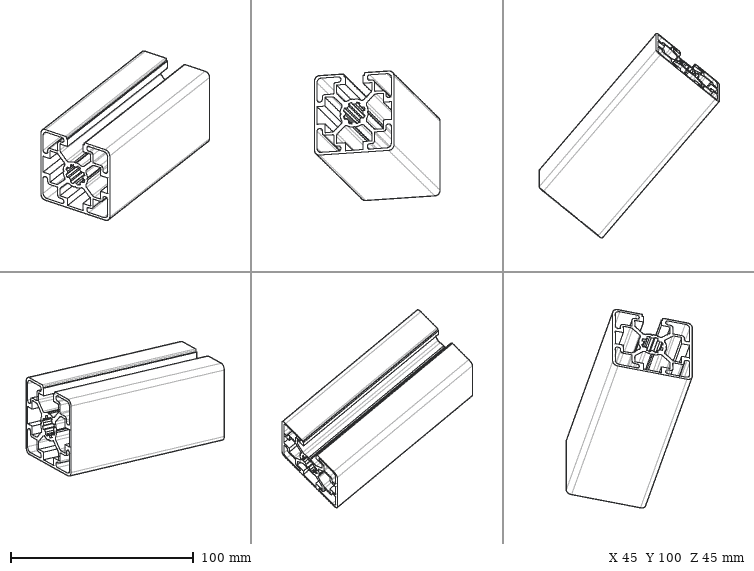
import cadquery as cq
import math

size = 45.0
length = 100.0
half = size / 2
corner_radius = 3.0
skin = 1.5

mouth_half = 5.75
mouth_edge_radius = 0.6
lip_half = 5.0
lip_depth = 6.0
channel_half = 10.0
channel_bend_radius = 2.0
web = 1.5
diagonal_web = 2.5

cavity_end = 7.5
cavity_corner_radius = 2.5
arm_end_radius = 1.4
arm_shoulder_radius = 1.5
cavity_inner_radius = 0.5

hub_radius = 8.0
hub_fillet = 1.5
groove_half = 0.8
groove_depth = 0.4
bore_root_radius = 6.2
bore_tip_radius = 5.0
tooth_count = 8
tooth_tip_half_angle = 9.0
tooth_root_half_angle = 14.5

inner_face = half - skin
lip_underside = half - lip_depth
diagonal_offset = diagonal_web / math.sqrt(2)


def prism(sketch):
    """Extrude a closed XZ outline over the full length, centred on Y."""
    return sketch.extrude(length)


def end_plane():
    """Workplane on the +Y end; extrusions run toward -Y."""
    return cq.Workplane("XZ", origin=(0, length / 2, 0))


def turn(body, angle):
    return body.rotate((0, 0, 0), (0, 1, 0), angle)


def polar(radius, degrees):
    angle = math.radians(degrees)
    return radius * math.cos(angle), radius * math.sin(angle)


def outer_block():
    return prism(end_plane().rect(size, size)).edges("|Y").fillet(corner_radius)


def edges_at(body, points):
    """Lengthwise edges of a body passing through the given XZ points."""
    picked = body.edges(cq.selectors.NearestToPointSelector((points[0][0], 0, points[0][1])))
    for x, z in points[1:]:
        picked = picked.add(body.edges(cq.selectors.NearestToPointSelector((x, 0, z))))
    return picked


def channel():
    """Upper T-slot void, closed by the skin outside and by the hub inside."""
    hub_foot = hub_radius / 2
    bend_z = channel_half + diagonal_offset
    void = prism(
        end_plane().polyline([
            (-lip_half, inner_face),
            (-lip_half, lip_underside),
            (-channel_half, lip_underside),
            (-channel_half, bend_z),
            (-hub_foot, hub_foot + diagonal_offset),
            (hub_foot, hub_foot + diagonal_offset),
            (channel_half, bend_z),
            (channel_half, lip_underside),
            (lip_half, lip_underside),
            (lip_half, inner_face),
        ]).close()
    )
    void = void.cut(prism(end_plane().circle(hub_radius)))
    meet_x = (math.sqrt(2 * hub_radius**2 - diagonal_offset**2) - diagonal_offset) / 2
    meet_z = meet_x + diagonal_offset
    void = edges_at(void, [(-meet_x, meet_z), (meet_x, meet_z)]).fillet(hub_fillet)
    void = edges_at(void, [(-channel_half, bend_z), (channel_half, bend_z)]).fillet(channel_bend_radius)
    rim_z = math.sqrt(hub_radius**2 - groove_half**2)
    groove = prism(
        end_plane().polyline([
            (-groove_half, rim_z),
            (0, hub_radius - groove_depth),
            (groove_half, rim_z),
            (0, hub_radius + groove_depth),
        ]).close()
    )
    return void.union(groove)


def corner_cavity():
    """L-shaped void in the +X +Z corner, mirror-symmetric about the diagonal."""
    arm_floor = lip_underside + web
    inner_wall = channel_half + web
    arm_ends = [(cavity_end, inner_face), (cavity_end, arm_floor)]
    shoulder = (inner_wall, arm_floor)
    void = prism(
        end_plane().polyline([
            (inner_face, inner_face),
            *arm_ends,
            shoulder,
            (inner_wall, inner_wall),
            shoulder[::-1],
            (arm_floor, cavity_end),
            (inner_face, cavity_end),
        ]).close()
    )
    void = edges_at(void, [(inner_face, inner_face)]).fillet(cavity_corner_radius)
    void = edges_at(void, [(inner_wall, inner_wall)]).fillet(cavity_inner_radius)
    void = edges_at(void, [shoulder, shoulder[::-1]]).fillet(arm_shoulder_radius)
    return edges_at(void, arm_ends + [(z, x) for x, z in arm_ends]).fillet(arm_end_radius)


def toothed_bore():
    """Central bore with evenly spaced teeth pointing inward."""
    pitch = 360 / tooth_count
    outline = end_plane().moveTo(*polar(bore_tip_radius, -tooth_tip_half_angle))
    for index in range(tooth_count):
        tooth = index * pitch
        following = tooth + pitch
        outline = (
            outline
            .threePointArc(polar(bore_tip_radius, tooth), polar(bore_tip_radius, tooth + tooth_tip_half_angle))
            .lineTo(*polar(bore_root_radius, tooth + tooth_root_half_angle))
            .threePointArc(
                polar(bore_root_radius, tooth + pitch / 2),
                polar(bore_root_radius, following - tooth_root_half_angle),
            )
        )
        if index < tooth_count - 1:
            outline = outline.lineTo(*polar(bore_tip_radius, following - tooth_tip_half_angle))
    return prism(outline.close())


def slot_mouth():
    """Opening through the top skin into the upper channel."""
    return cq.Workplane().box(2 * mouth_half, length, skin).translate((0, 0, half - skin / 2))


result = outer_block().cut(toothed_bore()).cut(slot_mouth())
result = edges_at(result, [(-mouth_half, half), (mouth_half, half)]).fillet(mouth_edge_radius)
upper_channel = channel()
cavity = corner_cavity()
for quarter in range(4):
    result = result.cut(turn(upper_channel, 90 * quarter))
    result = result.cut(turn(cavity, 90 * quarter))